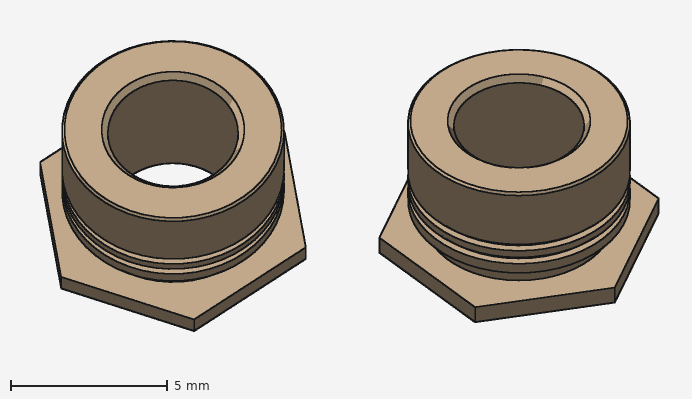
import cadquery as cq
import math

across_flats = 7.92
across_corners = across_flats / math.cos(math.pi / 6)
head_thickness = 0.64

neck_diameter = 6.1
groove_diameter = 6.6
body_diameter = 7.11
bore_diameter = 4.17

total_height = 4.76
neck_top = 1.40
lower_groove_bottom = 1.79
upper_groove_bottom = 2.34
groove_width = 0.27

rim_chamfer = 0.08
bore_chamfer = 0.2


def cylinder(diameter, bottom, top):
    """Solid cylinder on the Z axis between two levels."""
    return cq.Workplane("XY").workplane(offset=bottom).circle(diameter / 2).extrude(top - bottom)


def make_head():
    """Hexagonal plate with two corners on the X axis."""
    return cq.Workplane("XY").polygon(6, across_corners).extrude(head_thickness)


def make_body():
    """Chamfered cylinder with two grooves around it."""
    body = cylinder(body_diameter, neck_top, total_height).faces(">Z").edges().chamfer(rim_chamfer)
    for bottom in (lower_groove_bottom, upper_groove_bottom):
        top = bottom + groove_width
        ring = cylinder(body_diameter, bottom, top).cut(cylinder(groove_diameter, bottom, top))
        body = body.cut(ring)
    return body


def add_bore(solid):
    """Through hole with a chamfered mouth at the open end."""
    bored = solid.cut(cylinder(bore_diameter, 0, total_height))
    mouth_edge = bored.faces(">Z").edges(cq.selectors.RadiusNthSelector(0))
    return mouth_edge.chamfer(bore_chamfer)


neck = cylinder(neck_diameter, head_thickness, neck_top)
result = add_bore(make_head().union(neck).union(make_body()))